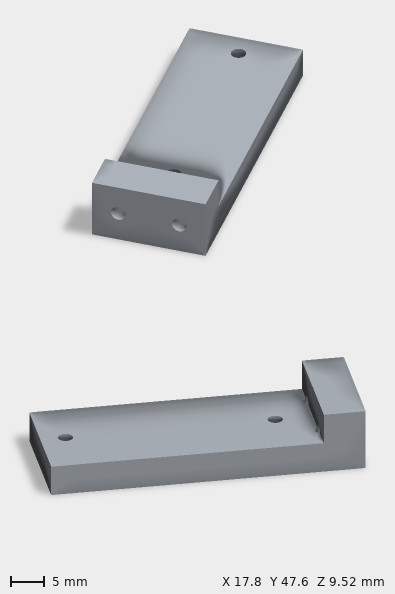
import cadquery as cq
import math

width = 17.75
length = 47.6
height = 9.52

plate_thickness = height / 2
lip_depth = 6.35

hole_diameter = 2.3
mount_hole_front_y = 12.05
mount_hole_rear_y = 43.8

drill_hole_spacing = 9.52
drill_hole_z = height / 2
drill_tip_y = 7.0
drill_point_angle = 118.0


def make_body():
    """Flat plate with a raised lip along its front edge."""
    plate = cq.Workplane("XY").box(width, length, plate_thickness, centered=(True, False, False))
    lip = cq.Workplane("XY").box(width, lip_depth, height, centered=(True, False, False))
    return plate.union(lip)


def make_mount_hole(y):
    """Vertical cutter through the plate."""
    return cq.Workplane("XY").center(0, y).circle(hole_diameter / 2).extrude(height)


def make_drill_hole(x):
    """Horizontal cutter with a conical tip, revolved about its own axis along Y."""
    radius = hole_diameter / 2
    cone_height = radius / math.tan(math.radians(drill_point_angle / 2))
    half_profile = (
        cq.Workplane("XY")
        .moveTo(0, 0)
        .lineTo(radius, 0)
        .lineTo(radius, drill_tip_y - cone_height)
        .lineTo(0, drill_tip_y)
        .close()
    )
    return half_profile.revolve(360, (0, 0, 0), (0, 1, 0)).translate((x, 0, drill_hole_z))


result = make_body()
for hole_y in (mount_hole_front_y, mount_hole_rear_y):
    result = result.cut(make_mount_hole(hole_y))
for side in (-1, 1):
    result = result.cut(make_drill_hole(side * drill_hole_spacing / 2))